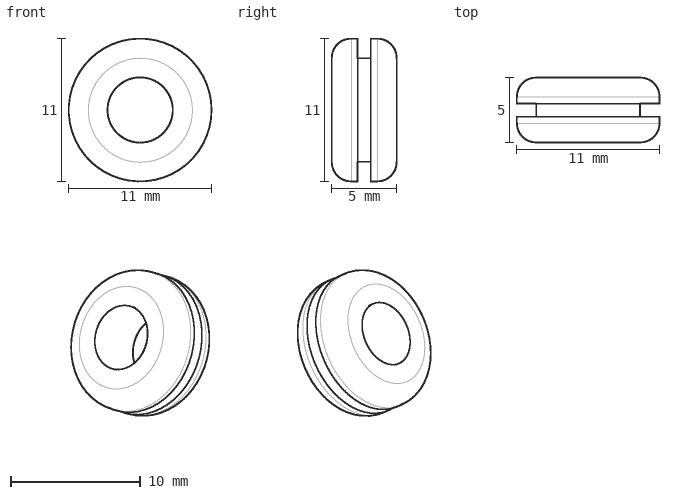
import cadquery as cq

outer_diameter = 11.0
bore_diameter = 5.0
groove_diameter = 8.0
width = 5.0
groove_width = 1.0
rim_radius = 1.5


def cylinder(diameter, length):
    """Cylinder along Y, centred on the origin."""
    return cq.Workplane("XZ", origin=(0, length / 2, 0)).circle(diameter / 2).extrude(length)


body = cylinder(outer_diameter, width).faces("<Y or >Y").edges().fillet(rim_radius)

groove = cylinder(outer_diameter, groove_width).cut(cylinder(groove_diameter, groove_width))

bore = cylinder(bore_diameter, width)

result = body.cut(groove).cut(bore)